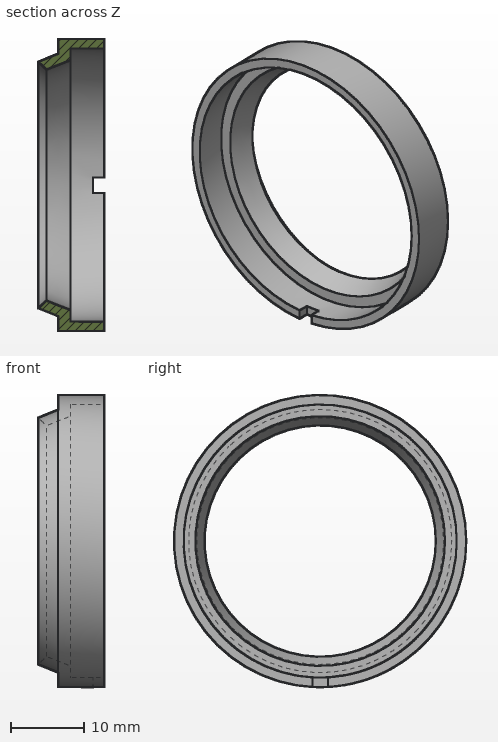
import cadquery as cq

total_length = 9.1
nose_length = 2.75
outer_radius = 20.0
nose_root_radius = 18.0
nose_tip_radius = 16.9

throat_radius = 15.8
throat_position = 1.15
flare_end_radius = 17.1
counterbore_radius = 18.7
counterbore_depth = 4.65

notch_width = 2.1
notch_depth = 1.55


def ring():
    """Revolve the thin stepped wall section about the X axis."""
    counterbore_floor = total_length - counterbore_depth
    section = [
        (0, nose_tip_radius),
        (nose_length, nose_root_radius),
        (nose_length, outer_radius),
        (total_length, outer_radius),
        (total_length, counterbore_radius),
        (counterbore_floor, counterbore_radius),
        (counterbore_floor, flare_end_radius),
        (throat_position, throat_radius),
    ]
    return cq.Workplane("XY").polyline(section).close().revolve(360, (0, 0, 0), (1, 0, 0))


def notch():
    """Block that cuts radially through the bottom of the counterbore wall."""
    return (
        cq.Workplane("XY")
        .box(notch_depth, notch_width, outer_radius, centered=(False, True, False))
        .translate((total_length - notch_depth, 0, -outer_radius))
    )


result = ring().cut(notch())